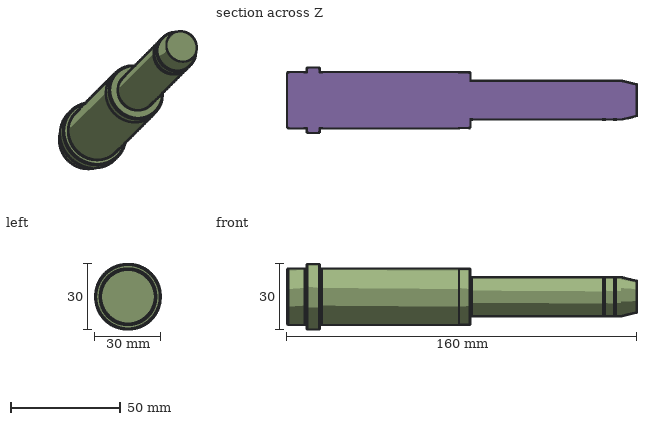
import cadquery as cq

total_length = 160.0

body_diameter = 26.0
collar_diameter = 30.0
pin_diameter = 18.0
nose_tip_diameter = 14.5

collar_start = 9.0
collar_end = 15.0
body_end = 84.0
nose_start = 153.0

body_chamfer = 0.6
collar_chamfer = 0.5

groove_depth = 0.2
groove_width = 1.0
pin_root_groove_width = 0.6
pin_groove_starts = (144.5, 149.6)

lead_length = 5.3
lead_step = 0.08


def cylinder(start, end, diameter):
    """Solid cylinder on the X axis between two stations."""
    return cq.Workplane("YZ").workplane(offset=start).circle(diameter / 2).extrude(end - start)


def groove_ring(start, width, diameter, depth):
    """Ring that cuts a groove of the given depth into a shaft of the given diameter."""
    outer = cylinder(start, start + width, diameter + 2 * depth)
    return outer.cut(cylinder(start, start + width, diameter - 2 * depth))


def make_body():
    """Wide shank with chamfered ends, a thinner lead and a groove on each side of the collar."""
    body = cylinder(0, body_end, body_diameter).faces("<X or >X").chamfer(body_chamfer)
    body = body.cut(groove_ring(body_end - lead_length, lead_length, body_diameter, lead_step))
    for start in (collar_start - groove_width, collar_end):
        body = body.cut(groove_ring(start, groove_width, body_diameter, groove_depth))
    return body


def make_collar():
    """Ring that stands out from the body, chamfered on both rims."""
    collar = cylinder(collar_start, collar_end, collar_diameter)
    return collar.faces("<X or >X").chamfer(collar_chamfer)


def make_pin():
    """Slim pin with a conical nose and shallow grooves."""
    pin_radius = pin_diameter / 2
    pin = (
        cq.Workplane("XY")
        .moveTo(body_end, 0)
        .lineTo(body_end, pin_radius)
        .lineTo(nose_start, pin_radius)
        .lineTo(total_length, nose_tip_diameter / 2)
        .lineTo(total_length, 0)
        .close()
        .revolve(360, (0, 0, 0), (1, 0, 0))
    )
    pin = pin.cut(groove_ring(body_end, pin_root_groove_width, pin_diameter, groove_depth))
    for start in pin_groove_starts:
        pin = pin.cut(groove_ring(start, groove_width, pin_diameter, groove_depth))
    return pin


result = make_body().union(make_collar()).union(make_pin())